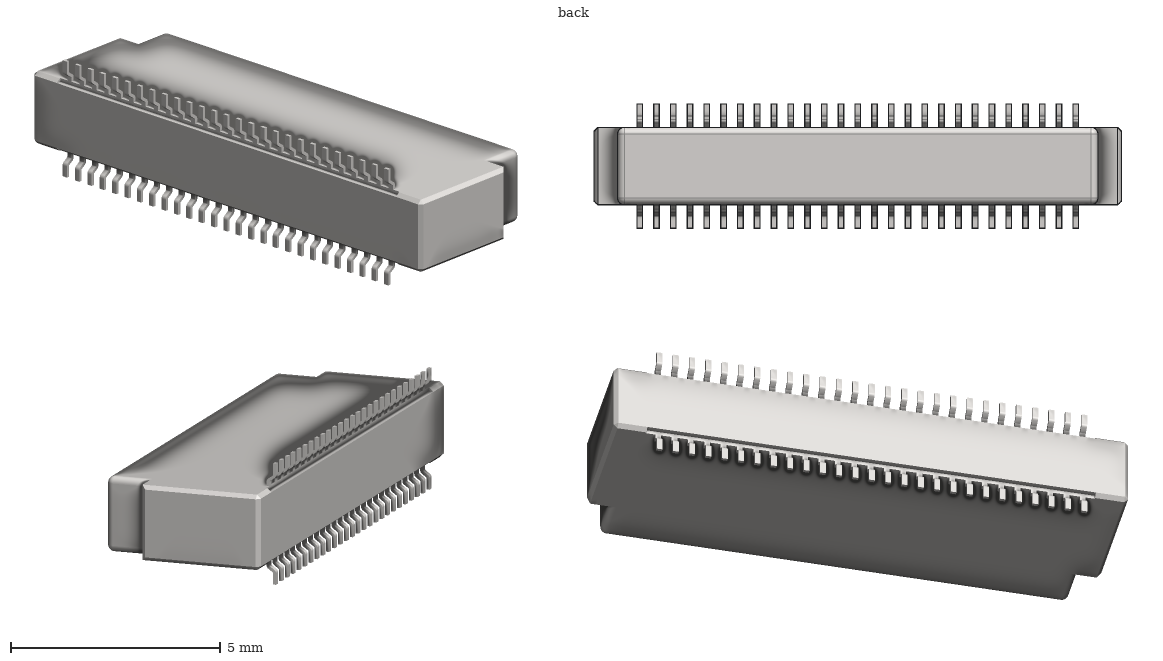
import cadquery as cq
import math

LENGTH = 12.6
HOUSING_HEIGHT = 1.85
HOUSING_DEPTH = 4.12
TONGUE_DEPTH = 1.11
TONGUE_INSET = 0.57
BASE_DEPTH = HOUSING_DEPTH - TONGUE_DEPTH
TONGUE_LENGTH = LENGTH - 2 * TONGUE_INSET
BASE_CHAMFER = 0.095
TONGUE_FILLET = 0.16

REBATE_LENGTH = 10.99
REBATE_DEPTH = 0.13
REBATE_HEIGHT = BASE_CHAMFER

PIN_COUNT = 27
PIN_ROW_LENGTH = 10.41
PIN_PITCH = PIN_ROW_LENGTH / (PIN_COUNT - 1)
PIN_WIDTH = 0.14
PIN_THICKNESS = 0.08
OVERALL_HEIGHT = 2.97
PIN_OVERHANG = 0.04
PIN_OFFSET = REBATE_DEPTH + PIN_OVERHANG
PIN_EMBED = 0.05
ROOT_RISE = 0.11
JOG_RISE = 0.11
BEND_INNER_RADIUS = 0.03
BEND_OUTER_RADIUS = BEND_INNER_RADIUS + PIN_THICKNESS
BEND_ANGLE = math.atan2(PIN_OFFSET, JOG_RISE)
BEND_SHIFT = PIN_THICKNESS * math.tan(BEND_ANGLE / 2)


def make_base():
    """Base block with chamfered end faces and front edges."""
    block = cq.Workplane("XY").box(LENGTH, BASE_DEPTH, HOUSING_HEIGHT, centered=(True, False, True))
    return block.faces("<X or >X or <Y").edges().chamfer(BASE_CHAMFER)


def make_tongue():
    """Tongue with rounded sides and rounded back edges, running into the base."""
    root_overlap = BASE_DEPTH / 2
    block = (
        cq.Workplane("XY")
        .box(TONGUE_LENGTH, TONGUE_DEPTH + root_overlap, HOUSING_HEIGHT, centered=(True, False, True))
        .translate((0, BASE_DEPTH - root_overlap, 0))
    )
    return block.edges("|Y or >Y").fillet(TONGUE_FILLET)


def make_rebate():
    """Cutter for the stepped front edge along the top terminal row."""
    return (
        cq.Workplane("XY", origin=(0, 0, HOUSING_HEIGHT / 2 - REBATE_HEIGHT))
        .box(REBATE_LENGTH, REBATE_DEPTH, REBATE_HEIGHT, centered=(True, False, False))
    )


def make_pin():
    """Terminal bent forward from the top face at X = 0."""
    foot_front = -PIN_OVERHANG
    foot_back = foot_front + PIN_THICKNESS
    root_front = foot_front + PIN_OFFSET
    root_back = foot_back + PIN_OFFSET
    face = HOUSING_HEIGHT / 2
    tip = OVERALL_HEIGHT / 2
    front_bend = face + ROOT_RISE
    back_bend = front_bend + BEND_SHIFT
    profile = [
        (root_front, face - PIN_EMBED),
        (root_front, front_bend),
        (foot_front, front_bend + JOG_RISE),
        (foot_front, tip),
        (foot_back, tip),
        (foot_back, back_bend + JOG_RISE),
        (root_back, back_bend),
        (root_back, face - PIN_EMBED),
    ]
    pin = cq.Workplane("YZ").polyline(profile).close().extrude(PIN_WIDTH / 2, both=True)
    inner_bends = [(root_front, front_bend), (foot_back, back_bend + JOG_RISE)]
    outer_bends = [(foot_front, front_bend + JOG_RISE), (root_back, back_bend)]
    for bends, radius in ((inner_bends, BEND_INNER_RADIUS), (outer_bends, BEND_OUTER_RADIUS)):
        for y, z in bends:
            pin = pin.edges(cq.NearestToPointSelector((0, y, z))).fillet(radius)
    return pin


rebate = make_rebate()
result = make_base().union(make_tongue()).cut(rebate).cut(rebate.mirror("XY"))
top_pin = make_pin()
bottom_pin = top_pin.mirror("XY")
for index in range(PIN_COUNT):
    x = index * PIN_PITCH - PIN_ROW_LENGTH / 2
    for pin in (top_pin, bottom_pin):
        result = result.union(pin.translate((x, 0, 0)))